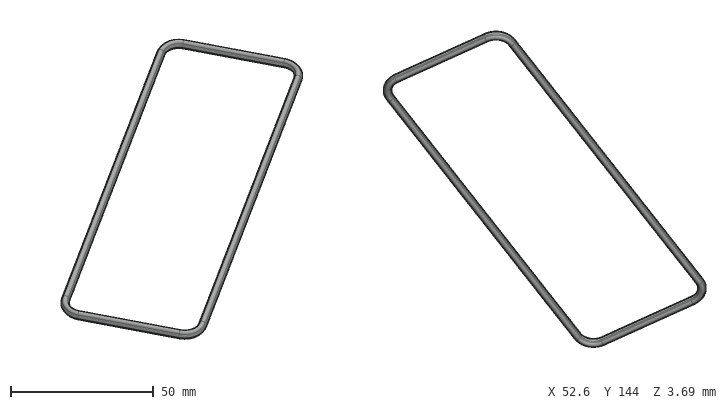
import cadquery as cq
import math

OUTER_LENGTH_X = 52.59
OUTER_LENGTH_Y = 144.0

CORD_WIDTH = 3.0
CORD_HEIGHT = 3.694
LOBE_RADIUS = 1.0
BEAD_RADIUS = 0.75
BLEND_RADIUS = 0.6

BEND_RADIUS = 6.5

PATH_X = OUTER_LENGTH_X - CORD_WIDTH
PATH_Y = OUTER_LENGTH_Y - CORD_WIDTH


def blend_centre(bead_x, lobe_z):
    """Centre of the blend arc that touches the bead and the lobe from outside."""
    to_bead = BEAD_RADIUS + BLEND_RADIUS
    to_lobe = LOBE_RADIUS + BLEND_RADIUS
    spacing = math.hypot(bead_x, lobe_z)
    along = (to_lobe**2 - to_bead**2 + spacing**2) / (2 * spacing)
    across = math.sqrt(to_lobe**2 - along**2)
    unit_x = bead_x / spacing
    unit_z = -lobe_z / spacing
    return along * unit_x - across * unit_z, lobe_z + along * unit_z + across * unit_x


def cord_section():
    """Closed cross-section of the cord, placed on one long side of the ring."""
    bead_x = CORD_WIDTH / 2 - BEAD_RADIUS
    lobe_z = CORD_HEIGHT / 2 - LOBE_RADIUS
    blend_x, blend_z = blend_centre(bead_x, lobe_z)

    lobe_share = LOBE_RADIUS / (LOBE_RADIUS + BLEND_RADIUS)
    lobe_end = (blend_x * lobe_share, lobe_z + (blend_z - lobe_z) * lobe_share)
    bead_share = BEAD_RADIUS / (BEAD_RADIUS + BLEND_RADIUS)
    bead_end = (bead_x + (blend_x - bead_x) * bead_share, blend_z * bead_share)
    chord_x = (lobe_end[0] + bead_end[0]) / 2 - blend_x
    chord_z = (lobe_end[1] + bead_end[1]) / 2 - blend_z
    stretch = BLEND_RADIUS / math.hypot(chord_x, chord_z)
    blend_mid = (blend_x + chord_x * stretch, blend_z + chord_z * stretch)

    def mirrored(point, side_x, side_z):
        return point[0] * side_x, point[1] * side_z

    section = cq.Workplane("XZ").center(PATH_X / 2, 0).moveTo(*mirrored(lobe_end, -1, 1))
    for side in (1, -1):
        section = (
            section.threePointArc((0, side * CORD_HEIGHT / 2), mirrored(lobe_end, side, side))
            .threePointArc(mirrored(blend_mid, side, side), mirrored(bead_end, side, side))
            .threePointArc((side * CORD_WIDTH / 2, 0), mirrored(bead_end, side, -side))
            .threePointArc(mirrored(blend_mid, side, -side), mirrored(lobe_end, side, -side))
        )
    return section.close()


def cord_path():
    """Closed rounded rectangle followed by the centre of the cord."""
    rectangle = cq.Workplane("XY").rect(PATH_X, PATH_Y).val()
    return cq.Workplane("XY").add(rectangle.fillet2D(BEND_RADIUS, rectangle.Vertices()))


result = cord_section().sweep(cord_path())